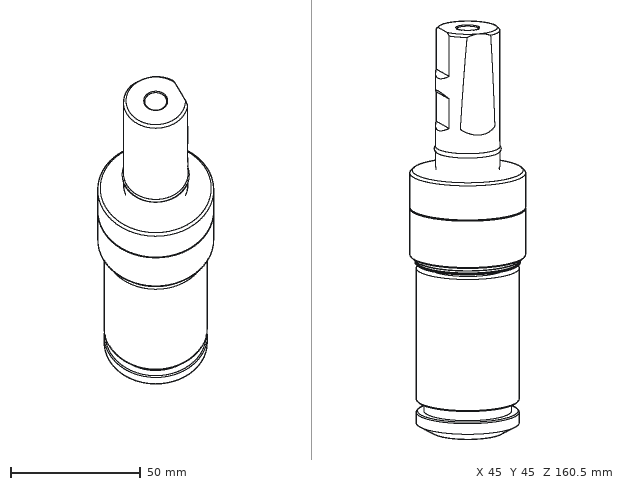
import cadquery as cq
import math

total_height = 160.5

body_radius = 40 / 2
nose_tip_radius = 28 / 2
nose_cone_angle = 60.0
nose_cone_height = (body_radius - nose_tip_radius) / math.tan(math.radians(nose_cone_angle))
flange_top = 8.2
edge_chamfer = 0.5

lower_neck_radius = 34 / 2
body_bottom = 12.4
body_top = 65.0
upper_neck_radius = 30 / 2
upper_neck_waist_radius = 29.5 / 2

seat_radius = 40 / 2
ridge_radius = 41 / 2
ridge_bottom = 66.85
ridge_height = 0.75
ridge_chamfer = 0.5
collar_bottom = 69.85

collar_radius = 45 / 2
collar_top = 103.8
collar_bottom_chamfer = 0.5
collar_top_chamfer = 1.0
parting_height = 89.0
parting_width = 0.5
parting_depth = 0.1

wire_radius = 0.7
wire_outer_radius = 42 / 2
wire_gap_start = -40.0
wire_gap_angle = 15.0

shank_radius = 25 / 2
shank_top_chamfer = 1.0
undercut_radius = 24.6 / 2
undercut_top = 105.7
undercut_taper_height = 0.9
undercut_fillet = 0.4
seal_radius = 26 / 2
seal_height = 112.4
seal_section_radius = 1.0

flats_turn = 5.0
flat_distance = 10.5
lower_flat_bottom = 122.8
lower_flat_top = 134.5
upper_flat_bottom = 143.5
tilted_flat_bottom = lower_flat_bottom
tilted_flat_distance = 10.2
tilted_flat_angle = 2.0
tilted_flat_fillet = 1.2
cutter_clearance = 5.0

through_diameter = 5.5
bore_diameter = 8.5
bore_depth = 20.0
bore_chamfer = 0.4
bore_tip_angle = 118.0
bore_cone_depth = (bore_diameter - through_diameter) / 2 / math.tan(math.radians(bore_tip_angle / 2))


def turned_about_axis(shape, angle):
    """The shape turned about Z, counter-clockwise seen from above, in degrees."""
    return shape.rotate((0, 0, 0), (0, 0, 1), angle)


def turned_body():
    """Outer shape of the whole part, as one revolved half section."""
    half_parting = parting_width / 2

    neck_height = ridge_bottom - body_top
    neck_widening = upper_neck_radius - upper_neck_waist_radius
    neck_arc_radius = (neck_height**2 + neck_widening**2) / (2 * neck_widening)

    seal_inset = shank_radius - (seal_radius - seal_section_radius)
    seal_half_chord = math.sqrt(seal_section_radius**2 - seal_inset**2)

    outline = (
        cq.Workplane("XZ")
        .moveTo(0, 0)
        .lineTo(nose_tip_radius, 0)
        .lineTo(body_radius, nose_cone_height)
        .lineTo(body_radius, flange_top - edge_chamfer)
        .lineTo(body_radius - edge_chamfer, flange_top)
        .lineTo(lower_neck_radius, flange_top)
        .lineTo(lower_neck_radius, body_bottom)
        .lineTo(body_radius - edge_chamfer, body_bottom)
        .lineTo(body_radius, body_bottom + edge_chamfer)
        .lineTo(body_radius, body_top)
        .lineTo(upper_neck_waist_radius, body_top)
        .radiusArc((upper_neck_radius, ridge_bottom), neck_arc_radius)
        .lineTo(ridge_radius - ridge_chamfer, ridge_bottom)
        .lineTo(ridge_radius, ridge_bottom + ridge_chamfer)
        .lineTo(ridge_radius, ridge_bottom + ridge_height)
        .lineTo(seat_radius, ridge_bottom + ridge_height)
        .lineTo(seat_radius, collar_bottom)
        .lineTo(collar_radius - collar_bottom_chamfer, collar_bottom)
        .lineTo(collar_radius, collar_bottom + collar_bottom_chamfer)
        .lineTo(collar_radius, parting_height - half_parting)
        .lineTo(collar_radius - parting_depth, parting_height)
        .lineTo(collar_radius, parting_height + half_parting)
        .lineTo(collar_radius, collar_top - collar_top_chamfer)
        .lineTo(collar_radius - collar_top_chamfer, collar_top)
        .lineTo(undercut_radius + undercut_fillet, collar_top)
        .radiusArc((undercut_radius, collar_top + undercut_fillet), undercut_fillet)
        .lineTo(undercut_radius, undercut_top - undercut_taper_height)
        .lineTo(shank_radius, undercut_top)
        .lineTo(shank_radius, seal_height - seal_half_chord)
        .threePointArc((seal_radius, seal_height), (shank_radius, seal_height + seal_half_chord))
        .lineTo(shank_radius, total_height - shank_top_chamfer)
        .lineTo(shank_radius - shank_top_chamfer, total_height)
        .lineTo(0, total_height)
        .close()
    )
    return outline.revolve(360, (0, 0, 0), (0, 1, 0))


def open_wire_ring():
    """Wire ring of round section, pressed up against the underside of the collar."""
    centre_radius = wire_outer_radius - wire_radius
    section = cq.Workplane("XZ").center(centre_radius, collar_bottom - wire_radius).circle(wire_radius)
    ring = section.revolve(360 - wire_gap_angle, (-centre_radius, 1, 0), (-centre_radius, 0, 0))
    return turned_about_axis(ring, wire_gap_start)


def shank_cutter(profile):
    """Cutter on the +X side with the given (distance, height) profile, wider than the shank."""
    return profile.extrude(shank_radius + cutter_clearance, both=True)


def side_flat_cutter(bottom, top=None):
    """Cutter of a flat with 45 degree ends; without a top it runs out of the shank end."""
    reach = shank_radius + cutter_clearance
    run = reach - flat_distance
    profile = cq.Workplane("XZ").moveTo(reach, bottom - run).lineTo(flat_distance, bottom)
    if top is None:
        end = total_height + cutter_clearance
        profile = profile.lineTo(flat_distance, end).lineTo(reach, end)
    else:
        profile = profile.lineTo(flat_distance, top).lineTo(reach, top + run)
    return shank_cutter(profile.close())


def tilted_flat_cutter():
    """Cutter of the tilted flat, with a rounded corner at its 45 degree lower end."""
    reach = shank_radius + cutter_clearance
    run = reach - tilted_flat_distance
    end = total_height + cutter_clearance
    slope = math.tan(math.radians(tilted_flat_angle))
    end_distance = tilted_flat_distance + (end - tilted_flat_bottom) * slope
    profile = (
        cq.Workplane("XZ")
        .moveTo(reach, tilted_flat_bottom - run)
        .lineTo(tilted_flat_distance, tilted_flat_bottom)
        .lineTo(end_distance, end)
        .lineTo(reach, end)
        .close()
    )
    corner = cq.selectors.NearestToPointSelector((tilted_flat_distance, 0, tilted_flat_bottom))
    return shank_cutter(profile).edges("|Y").edges(corner).fillet(tilted_flat_fillet)


def axial_hole():
    """Through hole with a chamfered, cone-ended bore from the shank end."""
    through_radius = through_diameter / 2
    bore_radius = bore_diameter / 2
    bore_bottom = total_height - bore_depth
    outline = (
        cq.Workplane("XZ")
        .moveTo(0, 0)
        .lineTo(through_radius, 0)
        .lineTo(through_radius, bore_bottom - bore_cone_depth)
        .lineTo(bore_radius, bore_bottom)
        .lineTo(bore_radius, total_height - bore_chamfer)
        .lineTo(bore_radius + bore_chamfer, total_height)
        .lineTo(0, total_height)
        .close()
    )
    return outline.revolve(360, (0, 0, 0), (0, 1, 0))


lower_side_flat = side_flat_cutter(lower_flat_bottom, lower_flat_top)
upper_side_flat = side_flat_cutter(upper_flat_bottom)

result = turned_body().union(open_wire_ring())
for side_flat in (lower_side_flat, upper_side_flat):
    result = result.cut(turned_about_axis(side_flat, 90 + flats_turn))
result = result.cut(turned_about_axis(tilted_flat_cutter(), 180 + flats_turn))
result = result.cut(axial_hole())